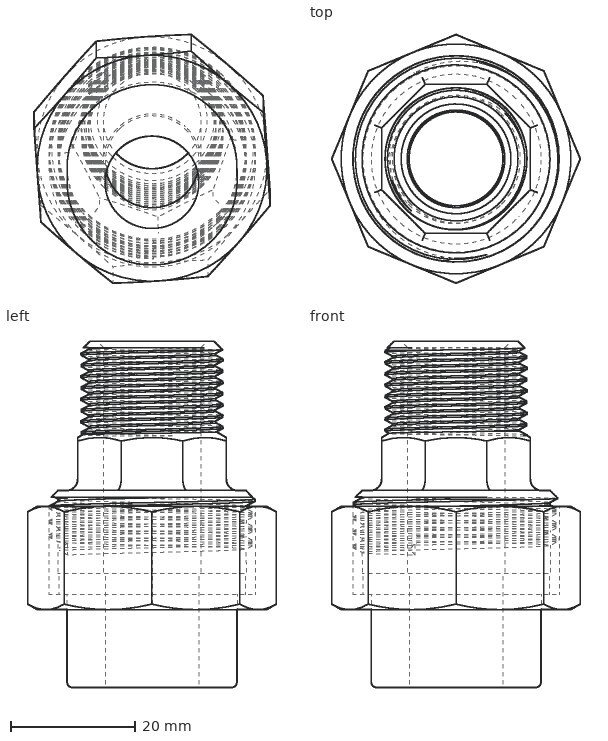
import cadquery as cq
import math

SIDES = 8
FLAT_TO_CORNER = 1 / math.cos(math.pi / SIDES)
WRENCH_CHAMFER_SLOPE = math.tan(math.radians(30))

TOTAL_HEIGHT = 55.8

NUT_CORNER_DIAMETER = 40.05
NUT_FLATS = NUT_CORNER_DIAMETER / FLAT_TO_CORNER
NUT_BOTTOM = 12.55
NUT_TOP = 29.2
NUT_LIP = 2.5
NUT_BORE_DIAMETER = 33.25

TAIL_DIAMETER = 27.4
TAIL_BORE_DIAMETER = 15.1
TAIL_EDGE_RADIUS = 0.9
COLLAR_DIAMETER = 30.0
COLLAR_THICKNESS = 3.35
COLLAR_BOTTOM = NUT_BOTTOM + NUT_LIP
COLLAR_TOP = COLLAR_BOTTOM + COLLAR_THICKNESS

NIPPLE_BORE_DIAMETER = 15.75
NIPPLE_MOUTH_DIAMETER = 17.7
NIPPLE_FLATS = 24.0
FLANGE_TOP = 31.75
FILLET_RADIUS = 1.8
WRENCH_TOP = 41.4
WRENCH_TOP_DIAMETER = 20.1

CREST_FRACTION = 1 / 6
ROOT_FRACTION = 1 / 6
RUNOUT_FRACTION = 0.35
RIDGE_EMBED = 0.1
LEAD_IN_HEIGHT = 1.05

PIPE_MAJOR = 22.9
PIPE_MINOR = 20.6
PIPE_PITCH = 1.815
PIPE_TURNS = 9
PIPE_END_ANGLE = 66.0
PIPE_FACE_DIAMETER = 20.0

UNION_MAJOR = 33.2
UNION_MINOR = 30.3
UNION_PITCH = 2.3
UNION_TURNS = 4
UNION_END_ANGLE = 116.0


def revolved(outline):
    """Solid of revolution about Z from (radius, height) points."""
    return cq.Workplane("XZ").polyline(outline).close().revolve(360, (0, 0), (0, 1))


def cylinder(diameter, bottom, top):
    return cq.Workplane("XY").workplane(offset=bottom).circle(diameter / 2).extrude(top - bottom)


def cone(bottom_diameter, bottom, top_diameter, top):
    """Truncated cone between two heights."""
    return revolved([(0, bottom), (bottom_diameter / 2, bottom), (top_diameter / 2, top), (0, top)])


def octagon_prism(flats, bottom, top, turn=0.0):
    """Octagonal prism with corners on X and Y, turned about Z by the given degrees."""
    prism = cq.Workplane("XY").workplane(offset=bottom).polygon(SIDES, flats * FLAT_TO_CORNER)
    return prism.extrude(top - bottom).rotate((0, 0, 0), (0, 0, 1), turn)


def thread_ridge(major, minor, pitch, turns, end_height, end_angle):
    """Right-hand helical ridge whose crest ends at the given height and direction."""
    half_crest = pitch * CREST_FRACTION / 2
    half_root = pitch * (1 - ROOT_FRACTION) / 2
    flank_slope = (half_root - half_crest) / (major - minor) * 2
    foot_radius = minor / 2 - RIDGE_EMBED
    half_foot = half_root + RIDGE_EMBED * flank_slope
    profile = [
        (foot_radius, -half_foot),
        (major / 2, -half_crest),
        (major / 2, half_crest),
        (foot_radius, half_foot),
    ]
    length = pitch * turns
    helix = cq.Workplane(obj=cq.Wire.makeHelix(pitch, length, minor / 2))
    ridge = cq.Workplane("XZ").polyline(profile).close().sweep(helix, isFrenet=True)
    return ridge.rotate((0, 0, 0), (0, 0, 1), end_angle).translate((0, 0, end_height - length))


def threaded_stud(major, minor, pitch, turns, end_angle, face_diameter, bottom, top):
    """Threaded core with a 45 degree lead-in cone at its top, into which the thread runs out."""
    face_radius = face_diameter / 2
    cone_bottom = top - LEAD_IN_HEIGHT
    blank = revolved([
        (0, bottom),
        (minor / 2, bottom),
        (minor / 2, cone_bottom),
        (face_radius + LEAD_IN_HEIGHT, cone_bottom),
        (face_radius, top),
        (0, top),
    ])
    runout_height = cone_bottom + RUNOUT_FRACTION * pitch
    ridge = thread_ridge(major, minor, pitch, turns, runout_height, end_angle)
    ridge = ridge.cut(cylinder(2 * major, cone_bottom, top + pitch))
    runout_depth = LEAD_IN_HEIGHT + pitch
    runout_cut = revolved([
        (face_radius, top),
        (face_radius + runout_depth, top - runout_depth),
        (face_radius + runout_depth, top),
    ])
    return blank.union(ridge).cut(runout_cut)


def wrench_octagon():
    """Octagon of the nipple with its chamfered top corners."""
    prism = octagon_prism(NIPPLE_FLATS, FLANGE_TOP, WRENCH_TOP, 180 / SIDES)
    corner_diameter = NIPPLE_FLATS * FLAT_TO_CORNER
    drop = (corner_diameter - WRENCH_TOP_DIAMETER) / 2 * WRENCH_CHAMFER_SLOPE
    envelope = cone(corner_diameter, WRENCH_TOP - drop, WRENCH_TOP_DIAMETER, WRENCH_TOP)
    envelope = envelope.union(cylinder(corner_diameter, FLANGE_TOP, WRENCH_TOP - drop))
    return prism.intersect(envelope)


def wrench_foot():
    """Concave flare with mitred corners, one fillet section along each side of the octagon."""
    inner = NIPPLE_FLATS / 2
    outer = inner + FILLET_RADIUS
    fillet_top = FLANGE_TOP + FILLET_RADIUS
    arc_offset = FILLET_RADIUS * (1 - math.sqrt(0.5))
    section = (
        cq.Workplane("XZ")
        .moveTo(0, FLANGE_TOP)
        .lineTo(outer, FLANGE_TOP)
        .threePointArc((inner + arc_offset, FLANGE_TOP + arc_offset), (inner, fillet_top))
        .lineTo(0, fillet_top)
        .close()
    )
    half_side = outer * math.tan(math.pi / SIDES)
    wedge = cq.Workplane("XY").workplane(offset=FLANGE_TOP)
    wedge = wedge.polyline([(0, 0), (outer, -half_side), (outer, half_side)]).close().extrude(FILLET_RADIUS)
    sector = section.extrude(half_side, both=True).intersect(wedge)
    foot = sector
    for side in range(1, SIDES):
        foot = foot.union(sector.rotate((0, 0, 0), (0, 0, 1), side * 360 / SIDES))
    return foot


def make_nipple():
    union_stud = threaded_stud(
        UNION_MAJOR, UNION_MINOR, UNION_PITCH, UNION_TURNS, UNION_END_ANGLE,
        face_diameter=UNION_MINOR, bottom=COLLAR_TOP, top=FLANGE_TOP,
    )
    pipe_stud = threaded_stud(
        PIPE_MAJOR, PIPE_MINOR, PIPE_PITCH, PIPE_TURNS, PIPE_END_ANGLE,
        face_diameter=PIPE_FACE_DIAMETER, bottom=FLANGE_TOP, top=TOTAL_HEIGHT,
    )
    wrench = wrench_octagon().union(wrench_foot())
    mouth_bottom = TOTAL_HEIGHT - (NIPPLE_MOUTH_DIAMETER - NIPPLE_BORE_DIAMETER) / 2
    mouth = cone(NIPPLE_BORE_DIAMETER, mouth_bottom, NIPPLE_MOUTH_DIAMETER, TOTAL_HEIGHT)
    bore = cylinder(NIPPLE_BORE_DIAMETER, COLLAR_TOP, TOTAL_HEIGHT)
    return union_stud.union(wrench).union(pipe_stud).cut(bore).cut(mouth)


def make_nut():
    drop = (NUT_CORNER_DIAMETER - NUT_FLATS) / 2 * WRENCH_CHAMFER_SLOPE
    envelope = cylinder(NUT_CORNER_DIAMETER, NUT_BOTTOM + drop, NUT_TOP - drop)
    envelope = envelope.union(cone(NUT_CORNER_DIAMETER, NUT_TOP - drop, NUT_FLATS, NUT_TOP))
    envelope = envelope.union(cone(NUT_FLATS, NUT_BOTTOM, NUT_CORNER_DIAMETER, NUT_BOTTOM + drop))
    nut = octagon_prism(NUT_FLATS, NUT_BOTTOM, NUT_TOP).intersect(envelope)
    nut = nut.cut(cylinder(TAIL_DIAMETER, NUT_BOTTOM, NUT_TOP))
    return nut.cut(cylinder(NUT_BORE_DIAMETER, COLLAR_BOTTOM, NUT_TOP))


def make_tail():
    tail = cylinder(TAIL_DIAMETER, 0, COLLAR_TOP).faces("<Z").edges().fillet(TAIL_EDGE_RADIUS)
    tail = tail.union(cylinder(COLLAR_DIAMETER, COLLAR_BOTTOM, COLLAR_TOP))
    return tail.cut(cylinder(TAIL_BORE_DIAMETER, 0, COLLAR_TOP))


nipple = make_nipple()
nut = make_nut()
tail = make_tail()

result = cq.Compound.makeCompound([nipple.solids().val(), nut.solids().val(), tail.solids().val()])